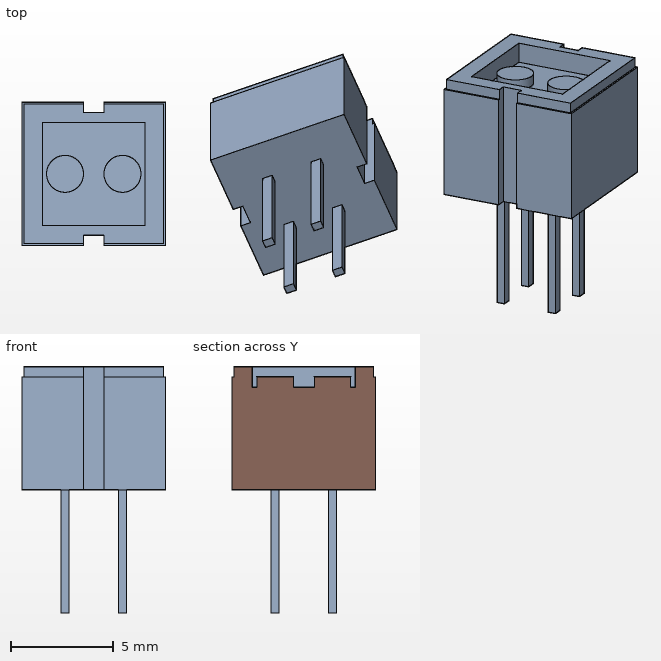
import cadquery as cq

housing_side = 7.0
housing_height = 6.0
rim_height = 0.5
rim_inset = 0.1

groove_width = 1.0
groove_depth = 0.5

pocket_side = 5.0
pocket_depth = 1.0
lens_diameter = 1.8
lens_height = 0.5

pin_length = 6.0
pin_size_x = 0.4
pin_size_y = 0.5
pitch_x = 2.8
pitch_y = 2.55

shoulder_z = housing_height - rim_height
pocket_floor_z = housing_height - pocket_depth
rim_side = housing_side - 2 * rim_inset


def square_block(side, bottom_z, height):
    """Square block centred on the Z axis."""
    return cq.Workplane("XY").workplane(offset=bottom_z).rect(side, side).extrude(height)


def make_grooves():
    """Cutters centred on the Y faces, so that half of each lies inside the housing."""
    return (
        cq.Workplane("XY")
        .pushPoints([(0, -housing_side / 2), (0, housing_side / 2)])
        .rect(groove_width, 2 * groove_depth)
        .extrude(housing_height)
    )


def make_lenses():
    return (
        cq.Workplane("XY")
        .workplane(offset=pocket_floor_z)
        .rarray(pitch_x, 0.12, 2, 1)
        .circle(lens_diameter / 2)
        .extrude(lens_height)
    )


def make_pins():
    return (
        cq.Workplane("XY")
        .rarray(pitch_x, pitch_y, 2, 2)
        .rect(pin_size_x, pin_size_y)
        .extrude(-pin_length)
    )


housing = square_block(housing_side, 0, shoulder_z)
housing = housing.union(square_block(rim_side, shoulder_z, rim_height))
housing = housing.cut(make_grooves())
housing = housing.cut(square_block(pocket_side, pocket_floor_z, pocket_depth))

result = housing.union(make_lenses()).union(make_pins())